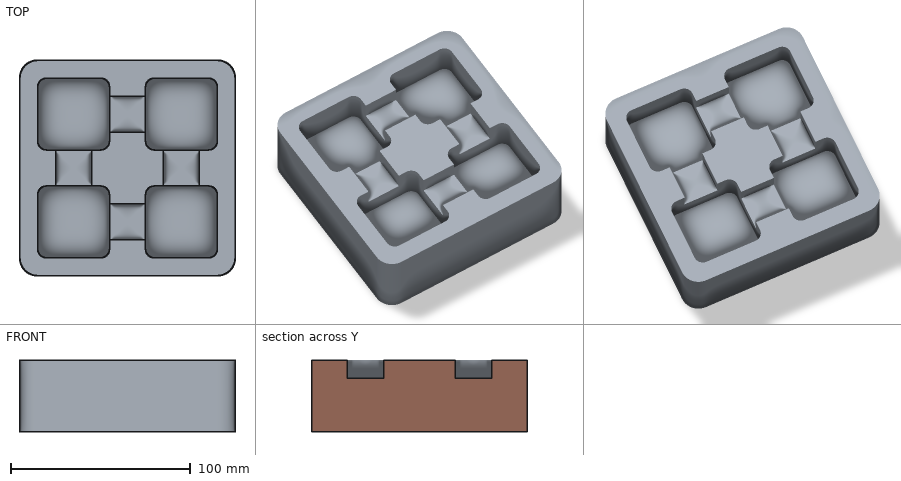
import cadquery as cq

side = 120.0
height = 40.0
outer_radius = 10.0

wall = 10.0
pocket_side = 40.0
pocket_radius = 5.0
pocket_depth = 20.0
pocket_offset = side / 2 - wall - pocket_side / 2

channel_width = 20.0
channel_depth = 10.0
channel_length = 2 * pocket_offset


def make_block():
    """Square block with rounded vertical edges, standing on Z = 0."""
    block = cq.Workplane("XY").box(side, side, height, centered=(True, True, False))
    return block.edges("|Z").fillet(outer_radius)


def make_recess(size_x, size_y, depth):
    """Rectangular cutter that sinks from the top face to the given depth."""
    cutter = cq.Workplane("XY").box(size_x, size_y, depth, centered=(True, True, False))
    return cutter.translate((0, 0, height - depth))


def cut_pockets(body):
    pocket = make_recess(pocket_side, pocket_side, pocket_depth)
    pocket = pocket.edges("|Z").fillet(pocket_radius)
    for x in (-pocket_offset, pocket_offset):
        for y in (-pocket_offset, pocket_offset):
            body = body.cut(pocket.translate((x, y, 0)))
    return body


def cut_channels(body):
    """Each channel runs between the centres of two neighbouring pockets."""
    channel_along_x = make_recess(channel_length, channel_width, channel_depth)
    channel_along_y = make_recess(channel_width, channel_length, channel_depth)
    for offset in (-pocket_offset, pocket_offset):
        body = body.cut(channel_along_x.translate((0, offset, 0)))
        body = body.cut(channel_along_y.translate((offset, 0, 0)))
    return body


result = cut_channels(cut_pockets(make_block()))